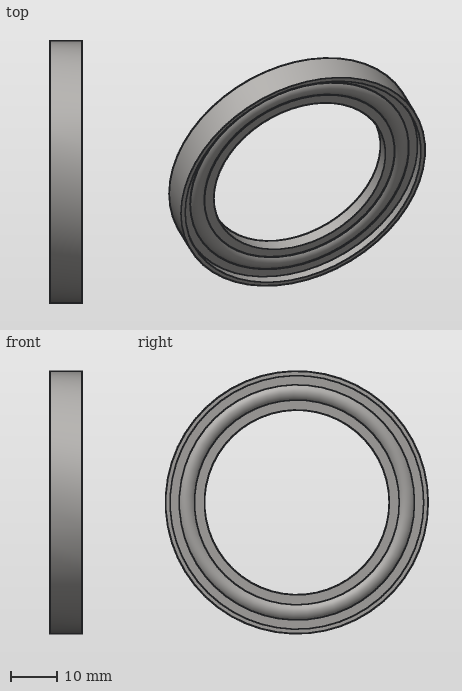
import cadquery as cq

outer_diameter = 57.0
lip_inner_diameter = 55.0
seal_outer_diameter = 51.0
seal_inner_diameter = 44.4
bore_diameter = 40.0
total_width = 7.0
recess_depth = 2.0
seal_bulge = 0.55
seal_edge_drop = 0.2

web_width = total_width - 2 * recess_depth


def make_ring(outside, inside, width):
    """Flat ring around the X axis, centred on the YZ plane."""
    return (
        cq.Workplane("YZ", origin=(-width / 2, 0, 0))
        .circle(outside / 2)
        .circle(inside / 2)
        .extrude(width)
    )


def make_outer_ring():
    """Rim with a projecting lip on each side of a thinner web."""
    rim = make_ring(outer_diameter, lip_inner_diameter, total_width)
    web = make_ring(outer_diameter, seal_outer_diameter, web_width)
    return rim.union(web)


def make_inner_ring():
    """Plain ring as thick as the web of the outer ring."""
    return make_ring(seal_inner_diameter, bore_diameter, web_width)


def make_seal():
    """Seal filling the gap between the rings, with a rounded crown on each side."""
    inner_radius = seal_inner_diameter / 2
    outer_radius = seal_outer_diameter / 2
    middle_radius = (inner_radius + outer_radius) / 2
    edge = web_width / 2 - seal_edge_drop
    crown = web_width / 2 + seal_bulge
    return (
        cq.Workplane("XY")
        .moveTo(-edge, inner_radius)
        .lineTo(edge, inner_radius)
        .threePointArc((crown, middle_radius), (edge, outer_radius))
        .lineTo(-edge, outer_radius)
        .threePointArc((-crown, middle_radius), (-edge, inner_radius))
        .close()
        .revolve(360, (0, 0, 0), (1, 0, 0))
    )


outer_ring = make_outer_ring()
inner_ring = make_inner_ring()
seal = make_seal()

result = cq.Compound.makeCompound([outer_ring.val(), inner_ring.val(), seal.val()])